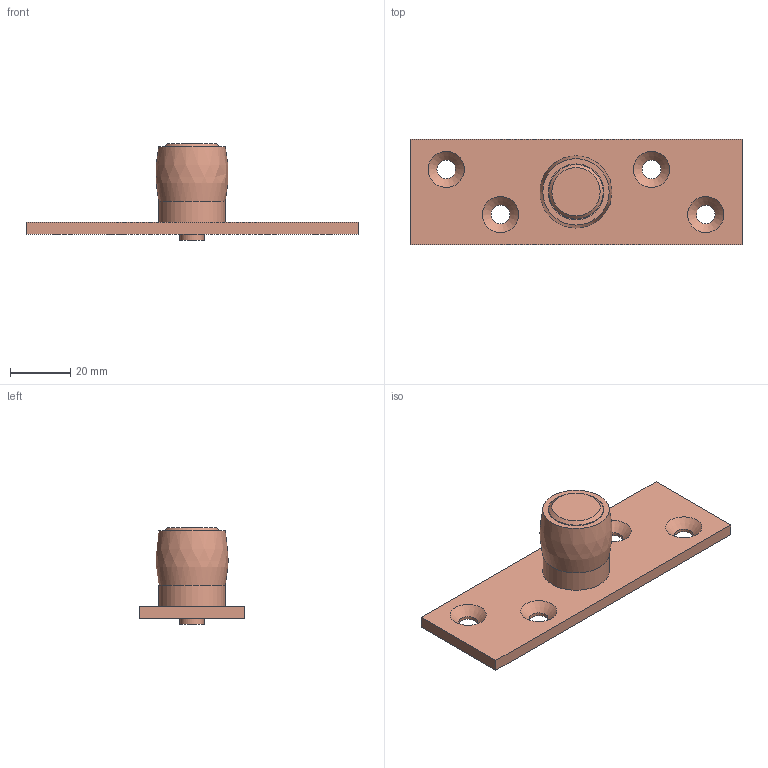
import cadquery as cq

PLATE_LENGTH = 110.0
PLATE_WIDTH = 35.0
PLATE_THICKNESS = 4.0

SCREW_DIAMETER = 6.2
SINK_DIAMETER = 12.0
SINK_ANGLE = 90.0
ROW_OFFSET = 7.5
BACK_ROW_X = (-43.0, 25.0)

COLLAR_DIAMETER = 22.0
COLLAR_HEIGHT = 7.0
BARREL_DIAMETER = 24.0
BARREL_HEIGHT = 18.0

PIN_DIAMETER = 18.0
BORE_DIAMETER = 18.5
CLEARANCE_DEPTH = 1.0
PIN_PROTRUSION = 1.0
PIN_CHAMFER = PIN_PROTRUSION

STUB_DIAMETER = 8.0
STUB_LENGTH = 2.0

COLLAR_TOP = PLATE_THICKNESS + COLLAR_HEIGHT
BARREL_TOP = COLLAR_TOP + BARREL_HEIGHT


def make_plate():
    """Flat plate with four countersunk holes, symmetric about the Z axis."""
    plate = cq.Workplane("XY").box(
        PLATE_LENGTH, PLATE_WIDTH, PLATE_THICKNESS, centered=(True, True, False)
    )
    back_row = [(x, ROW_OFFSET) for x in BACK_ROW_X]
    front_row = [(-x, -y) for x, y in back_row]
    return (
        plate.faces(">Z")
        .workplane(origin=(0, 0, PLATE_THICKNESS))
        .pushPoints(back_row + front_row)
        .cskHole(SCREW_DIAMETER, SINK_DIAMETER, SINK_ANGLE)
    )


def make_boss():
    """Collar, bulging sleeve and protruding pin as one revolved profile (X = radius, Y = height)."""
    collar_radius = COLLAR_DIAMETER / 2
    bore_radius = BORE_DIAMETER / 2
    pin_radius = PIN_DIAMETER / 2
    bulge_point = (BARREL_DIAMETER / 2, COLLAR_TOP + BARREL_HEIGHT / 2)
    clearance_floor = BARREL_TOP - CLEARANCE_DEPTH
    pin_top = BARREL_TOP + PIN_PROTRUSION
    return (
        cq.Workplane("XZ")
        .moveTo(0, PLATE_THICKNESS)
        .lineTo(collar_radius, PLATE_THICKNESS)
        .lineTo(collar_radius, COLLAR_TOP)
        .threePointArc(bulge_point, (collar_radius, BARREL_TOP))
        .lineTo(bore_radius, BARREL_TOP)
        .lineTo(bore_radius, clearance_floor)
        .lineTo(pin_radius, clearance_floor)
        .lineTo(pin_radius, pin_top - PIN_CHAMFER)
        .lineTo(pin_radius - PIN_CHAMFER, pin_top)
        .lineTo(0, pin_top)
        .close()
        .revolve(360, (0, 0, 0), (0, 1, 0))
    )


def make_stub():
    """Short round stub projecting below the plate."""
    return cq.Workplane("XY").circle(STUB_DIAMETER / 2).extrude(-STUB_LENGTH)


result = make_plate().union(make_boss()).union(make_stub())